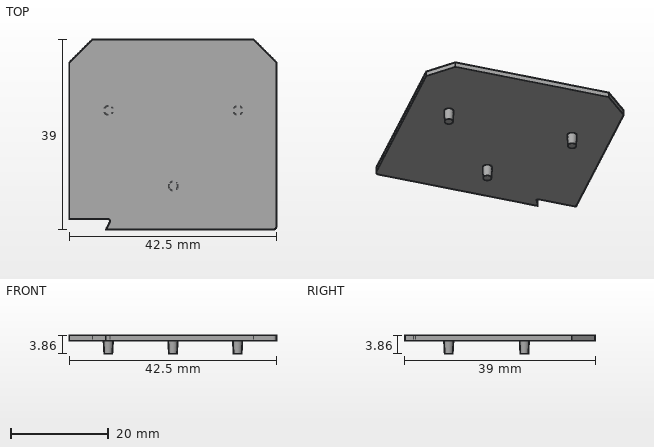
import cadquery as cq

width = 42.5
depth = 39.0
plate_thickness = 1.2
back_chamfer = 4.75
front_corner_radius = 0.75

notch_depth = 2.15
notch_mouth_width = 7.5
notch_inner_width = 8.35
notch_corner_radius = 0.45

total_height = 3.86
pin_length = total_height - plate_thickness
pin_base_diameter = 2.0
pin_tip_diameter = 1.7
pin_spacing = 13.25
back_pin_y = 5.0
front_pin_y = -10.5

left = -width / 2
right = width / 2
front = -depth / 2
back = depth / 2


def make_plate():
    """Flat plate with chamfered back corners, a rounded front right corner and a front left notch."""
    notch_y = front + notch_depth
    notch_inner_x = left + notch_inner_width
    plate = (
        cq.Workplane("XY")
        .moveTo(left, notch_y)
        .lineTo(notch_inner_x - notch_corner_radius, notch_y)
        .tangentArcPoint((notch_inner_x, notch_y - notch_corner_radius), relative=False)
        .lineTo(left + notch_mouth_width, front)
        .lineTo(right, front)
        .lineTo(right, back - back_chamfer)
        .lineTo(right - back_chamfer, back)
        .lineTo(left + back_chamfer, back)
        .lineTo(left, back - back_chamfer)
        .close()
        .extrude(plate_thickness)
    )
    front_corner = cq.selectors.NearestToPointSelector((right, front, plate_thickness / 2))
    return plate.edges(front_corner).fillet(front_corner_radius)


def make_pin(x, y):
    """Slightly tapered round pin hanging from the underside of the plate."""
    tip_center = cq.Vector(x, y, -pin_length)
    return cq.Solid.makeCone(pin_tip_diameter / 2, pin_base_diameter / 2, pin_length, pnt=tip_center)


pin_positions = [
    (-pin_spacing, back_pin_y),
    (pin_spacing, back_pin_y),
    (0, front_pin_y),
]

result = make_plate()
for pin_x, pin_y in pin_positions:
    result = result.union(cq.Workplane(make_pin(pin_x, pin_y)))